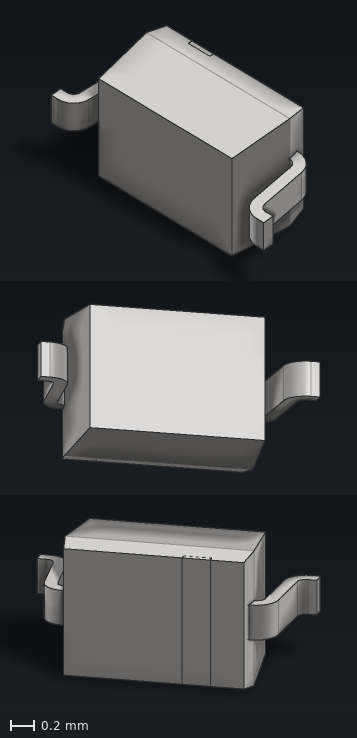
import cadquery as cq
import math


housing_length = 1.688
housing_width = 1.24
housing_bottom = 0.10
parting_height = 0.78
housing_top = 1.00
lower_draft = 5.0
upper_draft = 10.0

lead_span = 2.50
lead_width = 0.32
lead_thickness = 0.12
inner_radius = 0.08
outer_radius = inner_radius + lead_thickness
foot_flat = 0.081
leg_tilt = 5.0
lead_embed = 0.10
lead_top = 0.895

band_near = 0.15 * housing_length
band_far = 0.30 * housing_length
band_depth = 0.05
top_inset = (housing_top - parting_height) * math.tan(math.radians(upper_draft))
band_length = housing_width - 2 * top_inset


def level_plane(height):
    """Level plane at the given height, with its normal along +Y and its x along +X."""
    return cq.Plane(origin=(0, height, 0), xDir=(1, 0, 0), normal=(0, 1, 0))


def tapered_half(height, draft):
    """Housing half rising (or dropping, for a negative height) from the parting line."""
    return (
        cq.Workplane(level_plane(parting_height))
        .rect(housing_length, housing_width)
        .extrude(height, taper=draft)
    )


def make_housing_block():
    upper = tapered_half(housing_top - parting_height, upper_draft)
    lower = tapered_half(housing_bottom - parting_height, lower_draft)
    return upper.union(lower)


def bend_point(centre, radius, degrees):
    angle = math.radians(degrees)
    return (centre[0] + radius * math.cos(angle), centre[1] + radius * math.sin(angle))


def make_lead(turn):
    """Gull-wing lead on the -X side, turned by the given angle about the Y axis."""
    tilt = math.radians(leg_tilt)
    foot_tip = -lead_span / 2
    lead_end = -housing_length / 2 + lead_embed

    foot_centre = (foot_tip + foot_flat, outer_radius)
    shoulder_y = lead_top - outer_radius
    centre_rise = shoulder_y - foot_centre[1]
    radius_sum = inner_radius + outer_radius
    leg_length = (centre_rise + radius_sum * math.sin(tilt)) / math.cos(tilt)
    centre_run = radius_sum * math.cos(tilt) + leg_length * math.sin(tilt)
    shoulder_centre = (foot_centre[0] + centre_run, shoulder_y)

    foot_start = -90
    foot_end = -leg_tilt
    foot_middle = (foot_start + foot_end) / 2
    shoulder_start = 180 - leg_tilt
    shoulder_end = 90
    shoulder_middle = (shoulder_start + shoulder_end) / 2

    profile = (
        cq.Workplane("XY", origin=(0, 0, -lead_width / 2))
        .moveTo(foot_tip, 0)
        .lineTo(foot_centre[0], 0)
        .threePointArc(
            bend_point(foot_centre, outer_radius, foot_middle),
            bend_point(foot_centre, outer_radius, foot_end),
        )
        .lineTo(*bend_point(shoulder_centre, inner_radius, shoulder_start))
        .threePointArc(
            bend_point(shoulder_centre, inner_radius, shoulder_middle),
            bend_point(shoulder_centre, inner_radius, shoulder_end),
        )
        .lineTo(lead_end, lead_top - lead_thickness)
        .lineTo(lead_end, lead_top)
        .lineTo(shoulder_centre[0], lead_top)
        .threePointArc(
            bend_point(shoulder_centre, outer_radius, shoulder_middle),
            bend_point(shoulder_centre, outer_radius, shoulder_start),
        )
        .lineTo(*bend_point(foot_centre, inner_radius, foot_end))
        .threePointArc(
            bend_point(foot_centre, inner_radius, foot_middle),
            bend_point(foot_centre, inner_radius, foot_start),
        )
        .lineTo(foot_tip, lead_thickness)
        .close()
    )
    return profile.extrude(lead_width).rotate((0, 0, 0), (0, 1, 0), turn)


def make_cathode_band():
    return (
        cq.Workplane(level_plane(housing_top))
        .center(-(band_near + band_far) / 2, 0)
        .rect(band_far - band_near, band_length)
        .extrude(-band_depth)
    )


leads = [make_lead(turn) for turn in (0, 180)]
cathode_band = make_cathode_band()

housing = make_housing_block().cut(cathode_band)
for lead in leads:
    housing = housing.cut(lead)

result = cq.Compound.makeCompound(
    [housing.val(), cathode_band.val(), *[lead.val() for lead in leads]]
)